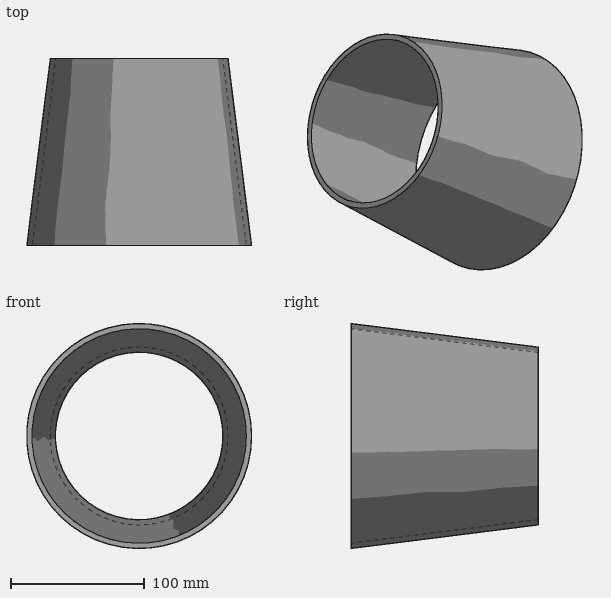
import cadquery as cq

large_diameter = 168.3
small_diameter = 133.0
wall = 4.0
length = 140.0

large_radius = large_diameter / 2
small_radius = small_diameter / 2


def reducer_shell():
    """Revolve the sloping wall section about the Y axis."""
    wall_section = (
        cq.Workplane("XY")
        .moveTo(large_radius - wall, 0)
        .lineTo(large_radius, 0)
        .lineTo(small_radius, length)
        .lineTo(small_radius - wall, length)
        .close()
    )
    return wall_section.revolve(360, (0, 0, 0), (0, 1, 0))


result = reducer_shell()